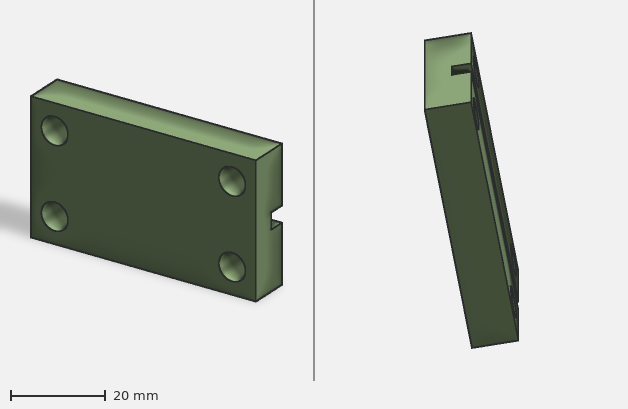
import cadquery as cq

length = 57.0
thickness = 10.0
height = 33.0

hole_diameter = 6.7
hole_spacing_x = 45.0
hole_spacing_z = 20.0

groove_width = 4.0
groove_depth = 4.1


def make_plate():
    return cq.Workplane("XY").box(length, thickness, height)


def drill_holes(plate):
    return (
        plate.faces("<Y")
        .workplane(centerOption="CenterOfBoundBox")
        .rarray(hole_spacing_x, hole_spacing_z, 2, 2)
        .hole(hole_diameter)
    )


def cut_groove(plate):
    groove_center_y = (thickness - groove_depth) / 2
    groove = (
        cq.Workplane("XY")
        .box(length, groove_depth, groove_width)
        .translate((0, groove_center_y, 0))
    )
    return plate.cut(groove)


result = cut_groove(drill_holes(make_plate()))